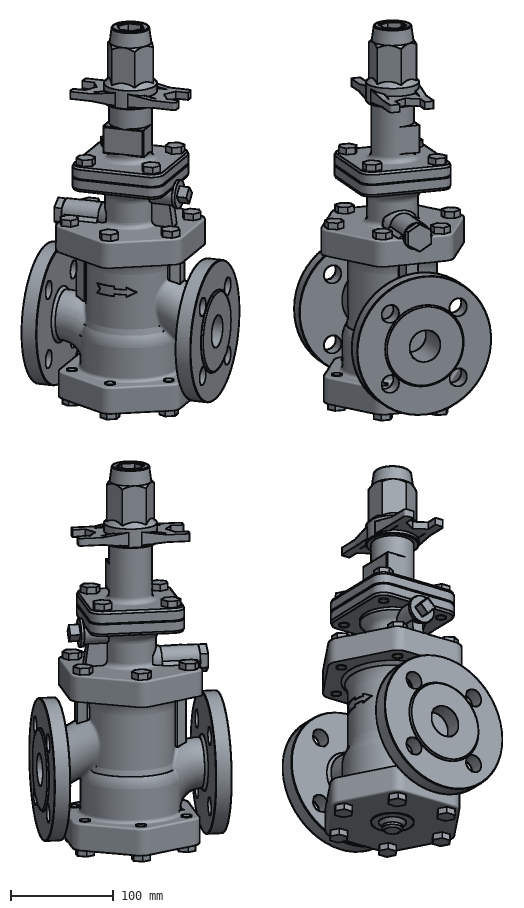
import cadquery as cq
import math


Z_BOTTOM = -83.1
Z_TOP = 301.9
Z_FOOT_TOP = -46.0
Z_FOOT_BOTTOM = -73.5
Z_BONNET_BOTTOM = 77.0
Z_BONNET_TOP = 103.3
Z_COVER_BOTTOM = 143.0
Z_COVER_TOP = 168.0
Z_COLLAR_BOTTOM = 225.0
Z_COLLAR_TOP = 244.5
Z_NUT_TOP = 286.5

FACE_X = 90.0
FLANGE_D = 140.0
FLANGE_T = 16.0
FLANGE_CHAMFER = 0.6
RAISED_FACE_D = 82.0
RAISED_FACE_T = 2.0
RAISED_FACE_CHAMFER = 1.5
BORE_D = 32.0
BOLT_CIRCLE_D = 100.0
FLANGE_HOLE_D = 18.0
FLANGE_HOLES = 4
INLET_BORE_DEPTH = 40.0
OUTLET_BORE_DEPTH = RAISED_FACE_T + FLANGE_T
FLANGE_BACK_X = FACE_X - RAISED_FACE_T - FLANGE_T

INLET_R = 25.0
OUTLET_R = 25.5
INLET_FLARE = 3.0
SEAM_FILLET = 3.0
INLET_BEND_R = 44.0
INLET_BEND_X = -68.0
OUTLET_TILT = 28.0
OUTLET_LENGTH = 90.0
OUTLET_DROP = 1.0

BODY_UPPER_R = 43.5
BODY_LOWER_R = 49.0
BODY_TOP_R = 46.5
FOOT_FILLET = 3.8
SHOULDER_BOTTOM = -11.5
SHOULDER_TOP = 6.0
SHOULDER_MID_R = 47.8
SHOULDER_TOP_R = 45.0
TOP_FLARE_BOTTOM = 61.5
TOP_FLARE_TOP = 73.5
TOP_FLARE_MID_R = 44.3
RIB_REACH = 54.0
RIB_FACE_W = 12.6
RIB_BASE_W = 20.0
RIB_BASE_X = 44.5

COVER_CORNER_R = 13.0
BONNET_WIDTH = 147.34
BONNET_BOLT_R = BONNET_WIDTH / 2 - COVER_CORNER_R
FOOT_BOLT_R = 58.0
HEX_SIDES = 6
HALF_SIDE_TURN = 180 / HEX_SIDES
BONNET_FLAT_X = BONNET_BOLT_R * math.cos(math.pi / HEX_SIDES) + COVER_CORNER_R
COVER_EDGE_R = 2.0

SQUARE_HALF = 47.0
SQUARE_EDGE = 2.5
GASKET_Z = 155.5
GASKET_T = 1.0
GASKET_INSET = 0.6

BOLT_HEAD_FLATS = 16.5
BOLT_HEAD_H = 6.5
BOLT_D = 10.0
BOLT_TIP = 0.8

PILOT_NECK_R = 25.0
PILOT_NECK_FLARE = 5.5
PILOT_NECK_TOP = 128.5
PILOT_FLARE_MID = (25.5, 131.2)
PILOT_CONE_BOTTOM = (26.8, 133.5)
PILOT_CONE_TOP = (30.5, 138.0)
PILOT_RIM_R = 32.0
PILOT_RIM_Z = 140.0
STEM_R = 21.0
STEM_FLARE = 6.0
NUT_FLATS = 41.0
NUT_CHAMFER_R = 20.5
COLLAR_R = 26.0
COLLAR_CHAMFER = 1.0
TOP_R = 18.5
TOP_CHAMFER = 1.0
SOCKET_FLATS = 22.5
SOCKET_CHAMFER = 0.8
SOCKET_DEPTH = 12.0
PAD_BOTTOM = 176.5
PAD_TOP = 204.0
PAD_CHAMFER = 1.0
HANDLE_REACH = 55.0
HANDLE_HALF_W = 23.0
HANDLE_BOTTOM = 229.0
HANDLE_TOP = 236.5
NOTCH_HALF_W = 13.0
NOTCH_APEX_X = 35.0
PRONG_ROUND = 2.5
HANDLE_RIB_TOP = 241.0
HANDLE_RIB_INNER_X = 6.5
HANDLE_RIB_OUTER_X = 32.0
HANDLE_RIB_INNER_Y = 16.0
HANDLE_RIB_OUTER_Y = 25.3
HANDLE_RIB_DROP = 1.5
NOTCH_ANGLE = 120.0

TUBE_R = 13.5
TUBE_Z = 105.4
TUBE_FLARE_R = 18.0
TUBE_FLARE_START_X = -29.0
TUBE_FLARE_END_X = -19.0
TUBE_BASE_HALF_W = 17.5
TUBE_BASE_TOP_HALF_W = 12.5
TUBE_BASE_H = 4.5
TUBE_END_X = -67.0
TUBE_PLUG_FLATS = 24.0
TUBE_PLUG_END_X = -75.0
PORT_Z = 136.0
PORT_R = 11.8
PORT_END_X = 48.0
PORT_DISC_R = 14.0
PORT_DISC_T = 3.0
PORT_HEAD_SIDE = 12.0
PORT_HEAD_H = 10.0
PORT_RIB_T = 12.0
PORT_RIB_TOP_X = 43.0
PORT_RIB_FOOT_X = 46.0

DRAIN_SEAT_R = 21.0
DRAIN_SEAT_T = 1.0
DRAIN_NECK_R = 13.5
DRAIN_NECK_H = 4.0
DRAIN_PLUG_R = 10.0
DRAIN_CHAMFER = 2.0

ARROW_Z = 44.0
ARROW_HEIGHT = 0.5
ARROW_TIP_X = 20.5
ARROW_HEAD_X = 11.0
ARROW_SHAFT_X = -1.0
ARROW_NOTCH_X = -16.5
ARROW_HALF_W = 5.0
ARROW_SHAFT_HALF_W = 2.6


def hex_corners(flats):
    """Width across corners of a hexagon from its width across flats."""
    return flats / math.cos(math.pi / HEX_SIDES)


def hexagon(flats, z, height, turn=0.0):
    """Upright hexagonal prism; a corner lies on +X when turn is 0."""
    prism = cq.Workplane("XY").polygon(HEX_SIDES, hex_corners(flats)).extrude(height)
    return prism.rotate((0, 0, 0), (0, 0, 1), turn).translate((0, 0, z))


def x_cylinder(radius, x_start, x_end, z):
    """Cylinder along X, centred at Y = 0."""
    return (
        cq.Workplane("YZ", origin=(x_start, 0, z))
        .circle(radius)
        .extrude(x_end - x_start)
    )


def x_hexagon(flats, x_start, x_end, z):
    """Hexagonal prism along X with a corner pointing up."""
    return (
        cq.Workplane("YZ", origin=(x_start, 0, z))
        .transformed(rotate=(0, 0, 90))
        .polygon(HEX_SIDES, hex_corners(flats))
        .extrude(x_end - x_start)
    )


def ring_places(radius, turn):
    """Bolt places at the corners of a hexagonal cover."""
    places = []
    for i in range(HEX_SIDES):
        angle = math.radians(90 + i * 360 / HEX_SIDES)
        places.append((radius * math.cos(angle), radius * math.sin(angle), turn))
    return places


def square_places():
    """Bolt places of the square cover; heads on one diagonal are turned by half a side."""
    offset = SQUARE_HALF - COVER_CORNER_R
    places = []
    for x in (-offset, offset):
        for y in (-offset, offset):
            places.append((x, y, HALF_SIDE_TURN if x * y > 0 else 0))
    return places


def revolve_profile(profile):
    """Close an XZ half-profile on the stem axis and turn it about that axis."""
    return profile.close().revolve(360, (0, 0, 0), (0, 1, 0))


def hex_cover(bolt_radius, z_bottom, z_top, rounded_faces):
    """Hexagonal plate with corners on +-Y, rounded about the bolt centres."""
    flats = 2 * (bolt_radius * math.cos(math.pi / HEX_SIDES) + COVER_CORNER_R)
    plate = hexagon(flats, z_bottom, z_top - z_bottom, 90)
    plate = plate.edges("|Z").fillet(COVER_CORNER_R)
    return plate.faces(rounded_faces).edges().fillet(COVER_EDGE_R)


def bolts(places, head_z, head_direction, tip_z):
    """Hex heads on one side of a joint, with short bolt ends showing on the other.

    Each place is (x, y, turn of the head in degrees).
    """
    head_bottom = min(head_z, head_z + head_direction * BOLT_HEAD_H)
    tip_bottom = min(tip_z, tip_z - head_direction * BOLT_TIP)
    tip = cq.Workplane("XY", origin=(0, 0, tip_bottom)).circle(BOLT_D / 2).extrude(BOLT_TIP)
    solids = []
    for x, y, turn in places:
        head = hexagon(BOLT_HEAD_FLATS, head_bottom, BOLT_HEAD_H, turn)
        solids.append(head.translate((x, y, 0)))
        solids.append(tip.translate((x, y, 0)))
    return solids


def make_body():
    """Revolved valve body between the bottom cover and the bonnet."""
    shoulder_mid = (SHOULDER_MID_R, SHOULDER_BOTTOM / 2)
    flare_mid = (TOP_FLARE_MID_R, (TOP_FLARE_BOTTOM + TOP_FLARE_TOP) / 2)
    top_fillet = Z_BONNET_BOTTOM - TOP_FLARE_TOP
    return revolve_profile(
        cq.Workplane("XZ")
        .moveTo(0, Z_FOOT_TOP)
        .lineTo(BODY_LOWER_R + FOOT_FILLET, Z_FOOT_TOP)
        .radiusArc((BODY_LOWER_R, Z_FOOT_TOP + FOOT_FILLET), FOOT_FILLET)
        .lineTo(BODY_LOWER_R, SHOULDER_BOTTOM)
        .threePointArc(shoulder_mid, (SHOULDER_TOP_R, 0))
        .lineTo(BODY_UPPER_R, SHOULDER_TOP)
        .lineTo(BODY_UPPER_R, TOP_FLARE_BOTTOM)
        .threePointArc(flare_mid, (BODY_TOP_R, TOP_FLARE_TOP))
        .lineTo(BODY_TOP_R + top_fillet, Z_BONNET_BOTTOM)
        .lineTo(0, Z_BONNET_BOTTOM)
    )


def make_body_ribs():
    """Tapered passages standing out on both X sides of the upper body."""
    ribs = cq.Workplane("XY")
    for side in (-1, 1):
        rib = (
            cq.Workplane("XY")
            .moveTo(0, -RIB_BASE_W / 2)
            .lineTo(side * RIB_BASE_X, -RIB_BASE_W / 2)
            .lineTo(side * RIB_REACH, -RIB_FACE_W / 2)
            .lineTo(side * RIB_REACH, RIB_FACE_W / 2)
            .lineTo(side * RIB_BASE_X, RIB_BASE_W / 2)
            .lineTo(0, RIB_BASE_W / 2)
            .close()
            .extrude(Z_BONNET_BOTTOM)
        )
        ribs = ribs.union(rib)
    return ribs


def make_flange(side):
    """Pipe flange with raised face; side is -1 for the inlet and +1 for the outlet."""
    flange = x_cylinder(FLANGE_D / 2, FLANGE_BACK_X, FLANGE_BACK_X + FLANGE_T, 0)
    flange = flange.edges().chamfer(FLANGE_CHAMFER)
    face = x_cylinder(RAISED_FACE_D / 2, FLANGE_BACK_X, FACE_X, 0)
    face = face.faces(">X").edges().chamfer(RAISED_FACE_CHAMFER)
    holes = (
        cq.Workplane("YZ", origin=(FLANGE_BACK_X, 0, 0))
        .polarArray(BOLT_CIRCLE_D / 2, 45, 360, FLANGE_HOLES)
        .circle(FLANGE_HOLE_D / 2)
        .extrude(FLANGE_T)
    )
    flange = flange.union(face).cut(holes)
    if side < 0:
        flange = flange.mirror("YZ")
    return flange


def make_inlet():
    """Branch that leaves the flange horizontally and bends down into the body."""
    straight = x_cylinder(INLET_R, -FLANGE_BACK_X, INLET_BEND_X, 0)
    bend = (
        cq.Workplane("YZ", origin=(INLET_BEND_X, 0, 0))
        .circle(INLET_R)
        .revolve(90, (-1, -INLET_BEND_R, 0), (1, -INLET_BEND_R, 0))
    )
    flare = (
        cq.Workplane("YZ", origin=(-FLANGE_BACK_X, 0, 0))
        .circle(INLET_R + INLET_FLARE)
        .workplane(offset=INLET_FLARE)
        .circle(INLET_R)
        .loft()
    )
    return straight.union(bend).union(flare)


def make_outlet():
    """Straight branch rising from the outlet flange into the upper body."""
    tilt = math.radians(OUTLET_TILT)
    direction = cq.Vector(-math.cos(tilt), 0, math.sin(tilt))
    start = cq.Vector(FACE_X, 0, -OUTLET_DROP)
    pipe = cq.Solid.makeCylinder(OUTLET_R, OUTLET_LENGTH, start, direction)
    inside_flange = x_cylinder(FLANGE_D, 0, FLANGE_BACK_X + FLANGE_T / 2, 0)
    return cq.Workplane(obj=pipe).intersect(inside_flange)


def blend_branch(branch):
    """Body joined to one branch, with a fillet along the curved seam between them."""
    return make_body().union(branch).edges("%BSPLINE").fillet(SEAM_FILLET)


def make_pilot_neck():
    """Revolved neck joining the bonnet to the square cover."""
    return revolve_profile(
        cq.Workplane("XZ")
        .moveTo(0, Z_BONNET_TOP)
        .lineTo(PILOT_NECK_R + PILOT_NECK_FLARE, Z_BONNET_TOP)
        .radiusArc((PILOT_NECK_R, Z_BONNET_TOP + PILOT_NECK_FLARE), PILOT_NECK_FLARE)
        .lineTo(PILOT_NECK_R, PILOT_NECK_TOP)
        .threePointArc(PILOT_FLARE_MID, PILOT_CONE_BOTTOM)
        .lineTo(*PILOT_CONE_TOP)
        .lineTo(PILOT_RIM_R, PILOT_RIM_Z)
        .lineTo(PILOT_RIM_R, Z_COVER_BOTTOM)
        .lineTo(0, Z_COVER_BOTTOM)
    )


def make_square_cover():
    """Two square plates with rounded corners, parted by a slightly recessed gasket."""
    height = Z_COVER_TOP - Z_COVER_BOTTOM
    cover = (
        cq.Workplane("XY", origin=(0, 0, Z_COVER_BOTTOM))
        .rect(2 * SQUARE_HALF, 2 * SQUARE_HALF)
        .extrude(height)
        .edges("|Z")
        .fillet(COVER_CORNER_R)
        .faces(">Z or <Z")
        .edges()
        .chamfer(SQUARE_EDGE, SQUARE_EDGE / 2)
    )
    inner = 2 * (SQUARE_HALF - GASKET_INSET)
    core = (
        cq.Workplane("XY", origin=(0, 0, GASKET_Z - GASKET_T / 2))
        .rect(inner, inner)
        .extrude(GASKET_T)
        .edges("|Z")
        .fillet(COVER_CORNER_R - GASKET_INSET)
    )
    gap = (
        cq.Workplane("XY", origin=(0, 0, GASKET_Z - GASKET_T / 2))
        .rect(3 * SQUARE_HALF, 3 * SQUARE_HALF)
        .extrude(GASKET_T)
        .cut(core)
    )
    return cover.cut(gap)


def make_stem():
    """Round stem above the square cover, with its flat-faced name pad on -Y."""
    stem = revolve_profile(
        cq.Workplane("XZ")
        .moveTo(0, Z_COVER_TOP)
        .lineTo(STEM_R + STEM_FLARE, Z_COVER_TOP)
        .radiusArc((STEM_R, Z_COVER_TOP + STEM_FLARE), STEM_FLARE)
        .lineTo(STEM_R, Z_COLLAR_BOTTOM)
        .lineTo(0, Z_COLLAR_BOTTOM)
    )
    pad = (
        cq.Workplane("XY", origin=(0, -STEM_R / 2, PAD_BOTTOM))
        .rect(2 * STEM_R, STEM_R)
        .extrude(PAD_TOP - PAD_BOTTOM)
        .faces("<Y")
        .edges()
        .chamfer(PAD_CHAMFER)
    )
    return stem.union(pad)


def make_nut():
    """Tall hex nut on the collar, ending in a tapered top with a hex socket."""
    corner_r = hex_corners(NUT_FLATS) / 2
    taper_bottom = Z_COLLAR_TOP + COLLAR_R - NUT_CHAMFER_R
    nut = hexagon(NUT_FLATS, Z_COLLAR_TOP, Z_NUT_TOP - Z_COLLAR_TOP)
    envelope = revolve_profile(
        cq.Workplane("XZ")
        .moveTo(0, Z_COLLAR_TOP)
        .lineTo(corner_r, Z_COLLAR_TOP)
        .lineTo(corner_r, Z_NUT_TOP - (corner_r - NUT_CHAMFER_R))
        .lineTo(NUT_CHAMFER_R, Z_NUT_TOP)
        .lineTo(0, Z_NUT_TOP)
    )
    collar = revolve_profile(
        cq.Workplane("XZ")
        .moveTo(0, Z_COLLAR_BOTTOM)
        .lineTo(COLLAR_R - COLLAR_CHAMFER, Z_COLLAR_BOTTOM)
        .lineTo(COLLAR_R, Z_COLLAR_BOTTOM + COLLAR_CHAMFER)
        .lineTo(COLLAR_R, Z_COLLAR_TOP)
        .lineTo(NUT_CHAMFER_R, taper_bottom)
        .lineTo(0, taper_bottom)
    )
    top = revolve_profile(
        cq.Workplane("XZ")
        .moveTo(0, Z_NUT_TOP)
        .lineTo(NUT_CHAMFER_R, Z_NUT_TOP)
        .lineTo(TOP_R, Z_TOP - TOP_CHAMFER)
        .lineTo(TOP_R - TOP_CHAMFER, Z_TOP)
        .lineTo(0, Z_TOP)
    )
    socket = hexagon(SOCKET_FLATS, Z_TOP - SOCKET_DEPTH, SOCKET_DEPTH)
    socket_mouth = (
        cq.Workplane("XY", origin=(0, 0, Z_TOP - SOCKET_CHAMFER))
        .polygon(HEX_SIDES, hex_corners(SOCKET_FLATS))
        .workplane(offset=SOCKET_CHAMFER)
        .polygon(HEX_SIDES, hex_corners(SOCKET_FLATS + 2 * SOCKET_CHAMFER))
        .loft(ruled=True)
    )
    nut = nut.intersect(envelope).union(collar).union(top)
    return nut.cut(socket).cut(socket_mouth)


def make_handle():
    """Two-ended fork plate through the collar, stiffened by sloping edge ribs."""
    notch_shoulder_x = NOTCH_APEX_X + NOTCH_HALF_W / math.tan(math.radians(NOTCH_ANGLE / 2))
    plate = (
        cq.Workplane("XY", origin=(0, 0, HANDLE_BOTTOM))
        .rect(2 * HANDLE_REACH, 2 * HANDLE_HALF_W)
        .extrude(HANDLE_TOP - HANDLE_BOTTOM)
        .edges("|Z")
        .fillet(PRONG_ROUND)
    )
    for side in (-1, 1):
        notch = (
            cq.Workplane("XY", origin=(0, 0, HANDLE_BOTTOM))
            .moveTo(side * NOTCH_APEX_X, 0)
            .lineTo(side * notch_shoulder_x, NOTCH_HALF_W)
            .lineTo(side * HANDLE_REACH, NOTCH_HALF_W)
            .lineTo(side * HANDLE_REACH, -NOTCH_HALF_W)
            .lineTo(side * notch_shoulder_x, -NOTCH_HALF_W)
            .close()
            .extrude(HANDLE_TOP - HANDLE_BOTTOM)
        )
        plate = plate.cut(notch)
        rib_side = (
            cq.Workplane("XZ")
            .moveTo(side * HANDLE_RIB_INNER_X, HANDLE_BOTTOM - HANDLE_RIB_DROP)
            .lineTo(side * HANDLE_RIB_OUTER_X, HANDLE_BOTTOM)
            .lineTo(side * HANDLE_RIB_OUTER_X, HANDLE_TOP)
            .lineTo(side * HANDLE_RIB_INNER_X, HANDLE_RIB_TOP)
            .close()
            .extrude(HANDLE_RIB_OUTER_Y, both=True)
        )
        for edge in (-1, 1):
            rib_plan = (
                cq.Workplane("XY", origin=(0, 0, Z_COLLAR_BOTTOM))
                .moveTo(side * HANDLE_RIB_INNER_X, edge * HANDLE_RIB_INNER_Y)
                .lineTo(side * HANDLE_RIB_OUTER_X, edge * HANDLE_RIB_INNER_Y)
                .lineTo(side * HANDLE_RIB_OUTER_X, edge * HANDLE_HALF_W)
                .lineTo(side * HANDLE_RIB_INNER_X, edge * HANDLE_RIB_OUTER_Y)
                .close()
                .extrude(Z_COLLAR_TOP - Z_COLLAR_BOTTOM)
            )
            plate = plate.union(rib_side.intersect(rib_plan))
    return plate


def make_side_tube():
    """Half-sunk tube along -X on the bonnet, flared at the neck and closed by a hex plug."""
    tube = x_cylinder(TUBE_R, TUBE_END_X, 0, TUBE_Z)
    plug = x_hexagon(TUBE_PLUG_FLATS, TUBE_PLUG_END_X, TUBE_END_X, TUBE_Z)
    flare = (
        cq.Workplane("YZ", origin=(TUBE_FLARE_START_X, 0, TUBE_Z))
        .circle(TUBE_R)
        .workplane(offset=TUBE_FLARE_END_X - TUBE_FLARE_START_X)
        .circle(TUBE_FLARE_R)
        .loft()
    )
    base_start_x = -BONNET_FLAT_X + COVER_EDGE_R
    base = (
        cq.Workplane("YZ", origin=(base_start_x, 0, Z_BONNET_TOP))
        .moveTo(-TUBE_BASE_HALF_W, 0)
        .lineTo(TUBE_BASE_HALF_W, 0)
        .lineTo(TUBE_BASE_TOP_HALF_W, TUBE_BASE_H)
        .lineTo(-TUBE_BASE_TOP_HALF_W, TUBE_BASE_H)
        .close()
        .extrude(TUBE_FLARE_START_X - base_start_x)
    )
    return tube.union(plug).union(flare).union(base)


def make_side_port():
    """Boss on the +X side of the pilot neck with a square-headed plug, carried by a rib."""
    disc_end = PORT_END_X + PORT_DISC_T
    port = x_cylinder(PORT_R, 0, PORT_END_X, PORT_Z)
    disc = x_cylinder(PORT_DISC_R, PORT_END_X, disc_end, PORT_Z)
    head = (
        cq.Workplane("YZ", origin=(disc_end, 0, PORT_Z))
        .transformed(rotate=(0, 0, 45))
        .rect(PORT_HEAD_SIDE, PORT_HEAD_SIDE)
        .extrude(PORT_HEAD_H)
    )
    rib = (
        cq.Workplane("XZ")
        .moveTo(0, Z_BONNET_TOP)
        .lineTo(PORT_RIB_FOOT_X, Z_BONNET_TOP)
        .lineTo(PORT_RIB_TOP_X, PORT_Z - PORT_R)
        .lineTo(PORT_RIB_TOP_X, PORT_Z)
        .lineTo(0, PORT_Z)
        .close()
        .extrude(PORT_RIB_T / 2, both=True)
    )
    return port.union(disc).union(head).union(rib)


def make_drain_plug():
    """Round seat and stepped plug under the bottom cover."""
    seat_bottom = Z_FOOT_BOTTOM - DRAIN_SEAT_T
    return revolve_profile(
        cq.Workplane("XZ")
        .moveTo(0, Z_FOOT_BOTTOM)
        .lineTo(DRAIN_SEAT_R, Z_FOOT_BOTTOM)
        .lineTo(DRAIN_SEAT_R, seat_bottom)
        .lineTo(DRAIN_NECK_R, seat_bottom)
        .lineTo(DRAIN_PLUG_R, seat_bottom - DRAIN_NECK_H)
        .lineTo(DRAIN_PLUG_R, Z_BOTTOM + DRAIN_CHAMFER)
        .lineTo(DRAIN_PLUG_R - DRAIN_CHAMFER, Z_BOTTOM)
        .lineTo(0, Z_BOTTOM)
    )


def make_arrow():
    """Flow arrow raised slightly on the -Y side of the body."""
    upper = [
        (ARROW_NOTCH_X, 0),
        (-ARROW_TIP_X, ARROW_HALF_W),
        (ARROW_SHAFT_X, ARROW_HALF_W),
        (ARROW_SHAFT_X, ARROW_SHAFT_HALF_W),
        (ARROW_HEAD_X, ARROW_SHAFT_HALF_W),
        (ARROW_HEAD_X, ARROW_HALF_W),
        (ARROW_TIP_X, 0),
    ]
    lower = [(x, -z) for x, z in reversed(upper[1:-1])]
    prism = (
        cq.Workplane("XZ", origin=(0, 0, ARROW_Z))
        .polyline(upper + lower)
        .close()
        .extrude(BODY_LOWER_R)
    )
    skin = cq.Workplane("XY").circle(BODY_UPPER_R + ARROW_HEIGHT).extrude(Z_BONNET_BOTTOM)
    return prism.intersect(skin)


pieces = [
    make_body_ribs(),
    make_arrow(),
    blend_branch(make_inlet()),
    blend_branch(make_outlet()),
    make_flange(-1),
    make_flange(1),
    hex_cover(FOOT_BOLT_R, Z_FOOT_BOTTOM, Z_FOOT_TOP, ">Z or <Z"),
    hex_cover(BONNET_BOLT_R, Z_BONNET_BOTTOM, Z_BONNET_TOP, ">Z"),
    make_drain_plug(),
    make_pilot_neck(),
    make_side_tube(),
    make_side_port(),
    make_square_cover(),
    make_stem(),
    make_nut(),
    make_handle(),
]
pieces += bolts(ring_places(FOOT_BOLT_R, HALF_SIDE_TURN), Z_FOOT_BOTTOM, -1, Z_FOOT_TOP)
pieces += bolts(ring_places(BONNET_BOLT_R, 0), Z_BONNET_TOP, 1, Z_BONNET_BOTTOM)
pieces += bolts(square_places(), Z_COVER_TOP, 1, Z_COVER_BOTTOM)

result = make_body()
for piece in pieces:
    result = result.union(piece)

result = result.cut(x_cylinder(BORE_D / 2, -FACE_X, INLET_BORE_DEPTH - FACE_X, 0))
result = result.cut(x_cylinder(BORE_D / 2, FACE_X - OUTLET_BORE_DEPTH, FACE_X, 0))